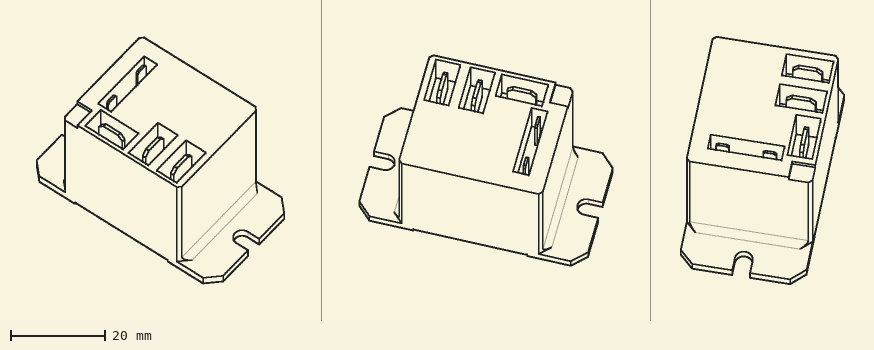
import cadquery as cq

BASE_LENGTH = 50.2
WIDTH = 27.2
BASE_THICKNESS = 2.0
BASE_CORNER_CHAMFER = 3.0
SLOT_WIDTH = 3.8
SLOT_DEPTH = 5.0
RELIEF_LENGTH = 25.0
RELIEF_HEIGHT = 0.45

TOTAL_HEIGHT = 28.2
HOUSING_LENGTH = 31.55
HOUSING_CHAMFER = 0.75
FOOT_RADIUS = 1.5

NOTCH_LENGTH = 3.95
NOTCH_WIDTH = 5.0
NOTCH_DEPTH = 0.95

POCKET_DEPTH = 8.05
LARGE_POCKET = (10.2, 5.35)
COIL_POCKET = (15.95, 3.5)
COIL_POCKET_CENTER = (-10.15, 1.65)
CONTACT_CENTERS = ((3.95, -7.65), (11.55, -7.65))
COMMON_CENTER = (-5.3, -10.0)

BLADE_WIDTH = 6.35
BLADE_THICKNESS = 0.8
BLADE_CHAMFER = 1.2
COIL_BLADE_WIDTH = 2.8
COIL_BLADE_THICKNESS = 0.5
COIL_BLADE_CHAMFER = 0.5
COIL_BLADE_X = -10.45
COIL_BLADE_YS = (6.7, -3.5)

POCKET_FLOOR = TOTAL_HEIGHT - POCKET_DEPTH


def block(length, width, bottom, top, center=(0, 0)):
    """Upright box between two heights, centred on a point in plan."""
    return (
        cq.Workplane("XY", origin=(*center, bottom))
        .rect(length, width)
        .extrude(top - bottom)
    )


def make_base():
    base = block(BASE_LENGTH, WIDTH, 0, BASE_THICKNESS)
    base = base.edges("|Z").chamfer(BASE_CORNER_CHAMFER)
    slots = (
        cq.Workplane("XY")
        .pushPoints([(-BASE_LENGTH / 2, 0), (BASE_LENGTH / 2, 0)])
        .slot2D(2 * SLOT_DEPTH, SLOT_WIDTH)
        .extrude(BASE_THICKNESS)
    )
    return base.cut(slots).cut(block(RELIEF_LENGTH, WIDTH, 0, RELIEF_HEIGHT))


def make_housing():
    """Housing with concave feet along both ends and 45 degree corners."""
    half = HOUSING_LENGTH / 2
    foot = half + FOOT_RADIUS
    foot_top = BASE_THICKNESS + FOOT_RADIUS
    profile = (
        cq.Workplane("XZ", origin=(0, WIDTH / 2, 0))
        .moveTo(-foot, BASE_THICKNESS)
        .radiusArc((-half, foot_top), -FOOT_RADIUS)
        .lineTo(-half, TOTAL_HEIGHT)
        .lineTo(half, TOTAL_HEIGHT)
        .lineTo(half, foot_top)
        .radiusArc((foot, BASE_THICKNESS), -FOOT_RADIUS)
        .close()
        .extrude(WIDTH)
    )
    corner_cut = HOUSING_CHAMFER + FOOT_RADIUS
    envelope = block(2 * foot, WIDTH, BASE_THICKNESS, TOTAL_HEIGHT)
    return profile.intersect(envelope.edges("|Z").chamfer(corner_cut))


def make_notch():
    center = (
        (NOTCH_LENGTH - HOUSING_LENGTH) / 2,
        (NOTCH_WIDTH - WIDTH) / 2,
    )
    return block(NOTCH_LENGTH, NOTCH_WIDTH, TOTAL_HEIGHT - NOTCH_DEPTH, TOTAL_HEIGHT, center)


def make_pocket(size, center, along_y):
    length, width = size[::-1] if along_y else size
    return block(length, width, POCKET_FLOOR, TOTAL_HEIGHT, center)


def make_blade(width, thickness, tip_chamfer, center, along_y):
    """Flat blade with chamfered tip corners, standing on the pocket floor."""
    blade = block(width, thickness, POCKET_FLOOR, TOTAL_HEIGHT)
    blade = blade.faces(">Z").edges("|Y").chamfer(tip_chamfer)
    if along_y:
        blade = blade.rotate((0, 0, 0), (0, 0, 1), 90)
    return blade.translate((*center, 0))


result = make_base().union(make_housing()).cut(make_notch())

result = result.cut(make_pocket(COIL_POCKET, COIL_POCKET_CENTER, along_y=True))
for blade_y in COIL_BLADE_YS:
    coil_blade = make_blade(
        COIL_BLADE_WIDTH,
        COIL_BLADE_THICKNESS,
        COIL_BLADE_CHAMFER,
        (COIL_BLADE_X, blade_y),
        along_y=True,
    )
    result = result.union(coil_blade)

large_terminals = [(COMMON_CENTER, False)]
large_terminals += [(center, True) for center in CONTACT_CENTERS]
for terminal_center, runs_along_y in large_terminals:
    result = result.cut(make_pocket(LARGE_POCKET, terminal_center, runs_along_y))
    large_blade = make_blade(
        BLADE_WIDTH, BLADE_THICKNESS, BLADE_CHAMFER, terminal_center, runs_along_y
    )
    result = result.union(large_blade)